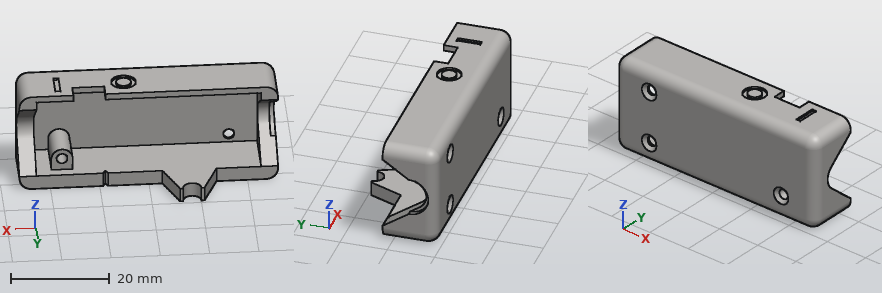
import cadquery as cq
import math

length = 52.5
depth = 11.5
height = 21.75
edge_radius = 2.5
end_wall = 3.45
front_wall = 1.3
floor_thickness = 3.05
roof_thickness = 1.3
mid_height = height / 2
roof_underside = height - roof_thickness

opening_half_height = 7.8
opening_radius = 3.3
left_center_y = 5.9
right_center_y = 7.45
recess_radius = 4.05
recess_depth = 1.05

left_holes = [(9.2, 4.9), (9.2, 16.9)]
boss_hole = (43.7, 5.6)
hole_diameter = 2.2
countersink_diameter = 3.85
countersink_angle = 90
boss_radius = 2.15
boss_end_y = 9.35

tab_center_x = 18.0
tab_base_width = 10.95
tab_end_width = 4.95
tab_length = 7.25
tab_end_y = depth + tab_length
saddle_radius = 1.85
saddle_inset = 0.1

notch_left = 35.0
notch_right = 41.55
notch_front = 8.5
nick_half_width = 0.5
nick_depth = 0.95

mark_depth = 0.4
ring_x, ring_y = 31.05, 7.05
ring_outer_radius = 2.5
ring_inner_radius = 1.5
slot_x, slot_y = 44.5, 7.05
slot_width = 1.05
slot_length = 5.05


def box(x0, x1, y0, y1, z0, z1):
    return cq.Workplane("XY").box(x1 - x0, y1 - y0, z1 - z0, centered=False).translate((x0, y0, z0))


def end_opening(start_x, center_y):
    """Cutter for one end wall: straight flanks tangent to a round bottom."""
    run = depth - center_y
    corner_distance = math.hypot(run, opening_half_height)
    tangent_angle = math.atan2(opening_half_height, run) + math.acos(opening_radius / corner_distance)
    tangent_y = center_y + opening_radius * math.cos(tangent_angle)
    tangent_rise = opening_radius * math.sin(tangent_angle)
    return (
        cq.Workplane("YZ", origin=(start_x, 0, 0))
        .moveTo(depth, mid_height + opening_half_height)
        .lineTo(tangent_y, mid_height + tangent_rise)
        .threePointArc((center_y - opening_radius, mid_height), (tangent_y, mid_height - tangent_rise))
        .lineTo(depth, mid_height - opening_half_height)
        .close()
        .extrude(end_wall)
    )


def shell():
    body = box(0, length, 0, depth, 0, height)
    body = body.edges("|Y or <Y").fillet(edge_radius)
    cavity = box(end_wall, length - end_wall, front_wall, depth, floor_thickness, roof_underside)
    body = body.cut(cavity)
    body = body.cut(end_opening(0, left_center_y))
    body = body.cut(end_opening(length - end_wall, right_center_y))
    recess = (
        cq.Workplane("YZ")
        .center(left_center_y, mid_height)
        .circle(recess_radius)
        .extrude(recess_depth)
    )
    return body.cut(recess)


def screw_boss():
    """Round post joined to the floor by a straight-sided web."""
    x, z = boss_hole
    post = box(x - boss_radius, x + boss_radius, 0, boss_end_y, 0, z)
    post = post.union(
        cq.Workplane("XZ").center(x, z).circle(boss_radius).extrude(-boss_end_y)
    )
    return post.intersect(box(0, length, front_wall / 2, depth, floor_thickness / 2, height))


def tab():
    half_base = tab_base_width / 2
    half_end = tab_end_width / 2
    plate = (
        cq.Workplane("XY")
        .polyline([
            (tab_center_x - half_base, depth),
            (tab_center_x + half_base, depth),
            (tab_center_x + half_end, tab_end_y),
            (tab_center_x - half_end, tab_end_y),
        ])
        .close()
        .extrude(floor_thickness)
    )
    saddle = (
        cq.Workplane("XY")
        .center(tab_center_x, tab_end_y - saddle_inset)
        .circle(saddle_radius)
        .extrude(floor_thickness)
    )
    return plate.cut(saddle)


def drill_screw_holes(body):
    cone_depth = (countersink_diameter - hole_diameter) / 2 / math.tan(math.radians(countersink_angle / 2))
    for x, z in left_holes + [boss_hole]:
        front = cq.Workplane("XZ").center(x, z)
        body = body.cut(front.circle(hole_diameter / 2).extrude(-depth))
        cone = cq.Solid.makeCone(
            countersink_diameter / 2, hole_diameter / 2, cone_depth,
            cq.Vector(x, 0, z), cq.Vector(0, 1, 0),
        )
        body = body.cut(cq.Workplane(cone))
    return body


def floor_nick():
    return (
        cq.Workplane("XY")
        .polyline([
            (notch_left - nick_half_width, depth),
            (notch_left, depth - nick_depth),
            (notch_left + nick_half_width, depth),
        ])
        .close()
        .extrude(floor_thickness)
    )


def roof_marks():
    roof = cq.Workplane("XY", origin=(0, 0, height - mark_depth))
    ring = roof.center(ring_x, ring_y).circle(ring_outer_radius).circle(ring_inner_radius).extrude(mark_depth)
    slot = roof.center(slot_x, slot_y).rect(slot_width, slot_length).extrude(mark_depth)
    return ring.union(slot)


housing = shell().union(screw_boss()).union(tab())
housing = drill_screw_holes(housing)
housing = housing.cut(box(notch_left, notch_right, notch_front, depth, roof_underside, height))
housing = housing.cut(floor_nick())
result = housing.cut(roof_marks())